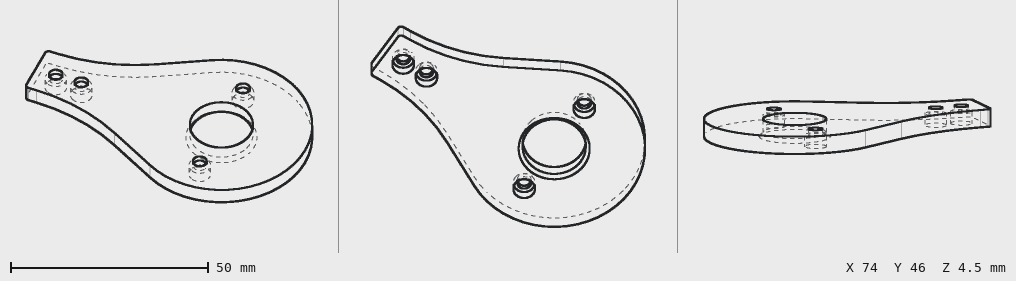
import cadquery as cq
import math

thickness = 4.5
head_radius = 23.0
tab_end_x = -51.0
tab_half_width = 7.0
tab_corner_radius = 1.0

flank_radius = 50.0
flank_start_x = -47.85

bore_diameter = 16.0
bore_chamfer = 1.0
screw_hole_diameter = 3.5
screw_head_diameter = 5.5
screw_head_depth = 3.0
head_hole_offset = 14.0
tab_hole_xs = (-45.5, -38.5)


def point_on_circle(center, radius, angle):
    """Point at the given angle (radians) on a circle."""
    return (
        center[0] + radius * math.cos(angle),
        center[1] + radius * math.sin(angle),
    )


def mirrored(point):
    """Reflect a point across the X axis."""
    return (point[0], -point[1])


def make_plate():
    flank_center = (flank_start_x, tab_half_width + flank_radius)
    center_distance = math.hypot(*flank_center)
    center_angle = math.atan2(flank_center[1], flank_center[0])
    normal_angle = center_angle - math.acos((head_radius + flank_radius) / center_distance)

    tab_bottom_angle = -math.pi / 2
    flank_end_angle = normal_angle - math.pi
    flank_mid_angle = (tab_bottom_angle + flank_end_angle) / 2

    tab_corner = (tab_end_x, tab_half_width)
    flank_start = (flank_start_x, tab_half_width)
    flank_mid = point_on_circle(flank_center, flank_radius, flank_mid_angle)
    flank_end = point_on_circle(flank_center, flank_radius, flank_end_angle)
    head_start = point_on_circle((0, 0), head_radius, normal_angle)

    plate = (
        cq.Workplane("XY")
        .moveTo(*tab_corner)
        .lineTo(*flank_start)
        .threePointArc(flank_mid, flank_end)
        .lineTo(*head_start)
        .threePointArc((head_radius, 0), mirrored(head_start))
        .lineTo(*mirrored(flank_end))
        .threePointArc(mirrored(flank_mid), mirrored(flank_start))
        .lineTo(*mirrored(tab_corner))
        .close()
        .extrude(thickness)
    )
    return plate.faces("<X").edges("|Z").fillet(tab_corner_radius)


def cut_bore(plate):
    bore_radius = bore_diameter / 2
    bore = cq.Workplane("XY").circle(bore_radius).extrude(thickness)
    chamfer_cone = cq.Solid.makeCone(bore_radius + bore_chamfer, bore_radius, bore_chamfer)
    return plate.cut(bore).cut(cq.Workplane(chamfer_cone))


def cut_screw_holes(plate):
    hole_points = [(0, head_hole_offset), (0, -head_hole_offset)]
    hole_points += [(x, 0) for x in tab_hole_xs]
    positions = cq.Workplane("XY").pushPoints(hole_points)
    shanks = positions.circle(screw_hole_diameter / 2).extrude(thickness)
    head_recesses = positions.circle(screw_head_diameter / 2).extrude(screw_head_depth)
    return plate.cut(shanks).cut(head_recesses)


result = cut_screw_holes(cut_bore(make_plate()))